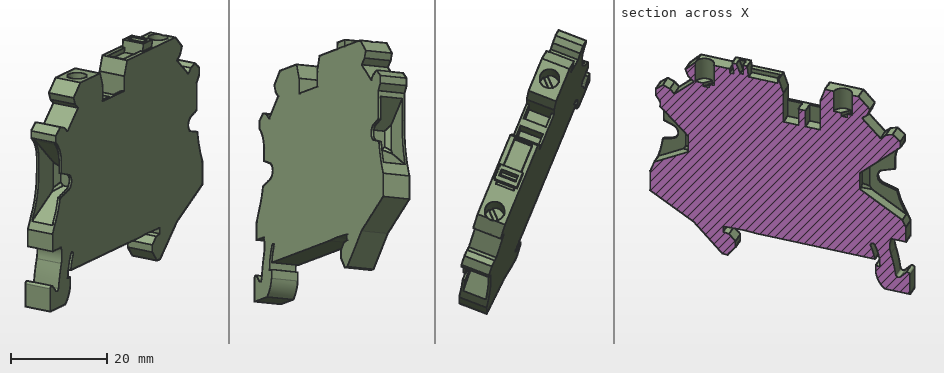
import cadquery as cq
import math

thickness = 6.15
length = 57.8
top_z = 46.85
base_z = 6.9
wall = 0.56
inner_width = thickness - 2 * wall
mid_x = thickness / 2
center_y = 30.25

screw_spacing = 30.7
screw_hole_diameter = 4.1
screw_hole_depth = 5.0
screw_slot_width = 0.85
screw_slot_depth = 0.8

notch_front_y = 20.0
notch_back_y = 28.09
notch_floor_z = 40.47
notch_shoulder_z = 43.7
notch_flare = 1.08
notch_pocket_depth = 4.0
front_pocket_length = 3.2
back_pocket_length = 3.25

recess_width = 3.95
recess_front_y = 29.5
recess_back_y = 40.05
recess_depth = 1.0
tab_front_y = 36.15
tab_length = 3.4
tab_height = 1.6
tab_lean = 0.3
tab_slot_width = 3.7
tab_slot_front_y = 37.1
tab_slot_length = 1.45
tab_slot_flat = 0.6
tab_slot_depth = 2.2

mouth_floor_y, mouth_floor_z = 1.7, 18.3
mouth_roof_y, mouth_roof_z = 2.3, 36.07
floor_angle = 30.0
throat_y = 11.1
throat_roof_z = 27.7
throat_inset = 0.91
taper_start_y = 9.8
corner_start_y = 9.27
corner_width = 1.55
corner_height = 1.58
overrun = 2.0

front_face_y = 4.23
bite_top_z = 29.0
bite_bottom_y, bite_bottom_z = 3.8, 23.7


def centered_box(width, y0, y1, z0, z1):
    """Box centred across the thickness."""
    block = cq.Workplane("XY").box(width, y1 - y0, z1 - z0, centered=(True, False, False))
    return block.translate((mid_x, y0, z0))


def tetrahedron(corners):
    """Solid with four flat triangular faces."""
    faces = []
    for skipped in range(4):
        points = [cq.Vector(*p) for i, p in enumerate(corners) if i != skipped]
        faces.append(cq.Face.makeFromWires(cq.Wire.makePolygon(points, close=True)))
    return cq.Workplane(obj=cq.Solid.makeSolid(cq.Shell.makeShell(faces)))


def make_housing():
    """Side outline, drawn in Y and Z, extruded through the thickness."""
    outline = (
        cq.Workplane("YZ")
        .moveTo(0, 0)
        .lineTo(0, 5.04)
        .threePointArc((0.25, 5.4), (0.8, 5.42))
        .lineTo(2.21, 3.91)
        .threePointArc((2.6, 3.75), (3.15, 4.22))
        .threePointArc((3.6, 6.83), (4.25, 9.4))
        .threePointArc((4.47, 11.2), (4.13, 12.89))
        .lineTo(0.9, 12.89)
        .lineTo(0.9, 16.66)
        .lineTo(2.86, 20.76)
        .threePointArc((4.0, 24.94), (front_face_y, bite_top_z))
        .lineTo(front_face_y, 31.8)
        .threePointArc((3.55, 34.4), (2.14, 36.26))
        .lineTo(2.14, 37.79)
        .lineTo(3.84, 39.2)
        .lineTo(5.39, 38.66)
        .lineTo(6.55, 37.57)
        .lineTo(10.57, 41.56)
        .lineTo(9.45, 42.65)
        .lineTo(8.87, 44.24)
        .lineTo(11.44, top_z)
        .lineTo(notch_front_y - notch_flare, top_z)
        .lineTo(notch_front_y, notch_shoulder_z)
        .lineTo(notch_front_y, notch_floor_z)
        .lineTo(notch_back_y, notch_floor_z)
        .lineTo(notch_back_y, notch_shoulder_z)
        .lineTo(notch_back_y + notch_flare, top_z)
        .lineTo(47.5, top_z)
        .lineTo(49.98, 44.24)
        .lineTo(49.4, 42.75)
        .lineTo(48.14, 41.56)
        .lineTo(52.37, 37.57)
        .lineTo(53.35, 38.58)
        .lineTo(54.9, 39.2)
        .lineTo(56.53, 37.79)
        .lineTo(56.53, 36.19)
        .lineTo(55.59, 34.74)
        .lineTo(55.59, bite_top_z)
        .threePointArc((56.3, 21.5), (length, 16.88))
        .lineTo(length, 11.98)
        .lineTo(48.1, 6.46)
        .lineTo(41.69, 0)
        .lineTo(40.54, 0)
        .lineTo(38.76, 2.36)
        .lineTo(38.76, 3.96)
        .lineTo(40.21, 5.41)
        .lineTo(41.51, 5.63)
        .lineTo(41.51, base_z)
        .lineTo(36.88, base_z + 0.15)
        .lineTo(33.91, base_z)
        .lineTo(7.82, base_z)
        .threePointArc((8.15, 8.6), (8.75, 10.2))
        .threePointArc((8.4, 10.72), (7.85, 10.45))
        .threePointArc((7.0, 8.0), (6.73, 5.44))
        .lineTo(7.67, 5.44)
        .lineTo(7.67, 3.63)
        .threePointArc((7.0, 1.6), (5.68, 0))
        .close()
    )
    return outline.extrude(thickness)


def make_funnel():
    """Cutter for the front wire entry: sloped floor and roof, narrowing to the throat."""
    slope = math.tan(math.radians(floor_angle))
    roof_slope = (mouth_roof_z - throat_roof_z) / (throat_y - mouth_roof_y)
    outer_y = -overrun
    throat_floor_z = mouth_floor_z + slope * (throat_y - mouth_floor_y)
    outer_floor_z = mouth_floor_z + slope * (outer_y - mouth_floor_y)
    outer_roof_z = mouth_roof_z + roof_slope * (mouth_roof_y - outer_y)
    cutter = (
        cq.Workplane("YZ", origin=(wall, 0, 0))
        .polyline([
            (outer_y, outer_floor_z),
            (throat_y, throat_floor_z),
            (throat_y, throat_roof_z),
            (outer_y, outer_roof_z),
        ])
        .close()
        .extrude(inner_width)
    )
    side_wedge = (
        cq.Workplane("XY", origin=(0, 0, mouth_floor_z))
        .polyline([(wall, taper_start_y), (wall, throat_y), (wall + throat_inset, throat_y)])
        .close()
        .extrude(mouth_roof_z - mouth_floor_z)
    )
    corner_floor_z = throat_floor_z - slope * (throat_y - corner_start_y)
    corner_wedge = tetrahedron([
        (wall, corner_start_y, corner_floor_z),
        (wall + corner_width, throat_y, throat_floor_z),
        (wall, throat_y, throat_floor_z + corner_height),
        (wall, throat_y, throat_floor_z),
    ])
    for wedge in (side_wedge, corner_wedge):
        cutter = cutter.cut(wedge).cut(wedge.mirror("YZ", (mid_x, 0, 0)))
    return cutter


def make_wall_bite():
    """Cutter for the rounded opening in the +X wall beside the front funnel."""
    return (
        cq.Workplane("YZ", origin=(thickness - wall, 0, 0))
        .moveTo(0, bite_top_z)
        .lineTo(front_face_y, bite_top_z)
        .lineTo(7.2, 27.9)
        .threePointArc((8.1, 26.4), (7.1, 24.7))
        .lineTo(bite_bottom_y, bite_bottom_z)
        .lineTo(0, bite_bottom_z)
        .close()
        .extrude(wall)
    )


def cut_wire_entries(body):
    """Funnel and wall opening at the front, mirrored to the back."""
    for cutter in (make_funnel(), make_wall_bite()):
        body = body.cut(cutter).cut(cutter.mirror("XZ", (0, center_y, 0)))
    return body


def cut_screw_holes(body):
    """Blind access holes, each ending on a slotted screw head."""
    head_z = top_z - screw_hole_depth
    for side in (-1, 1):
        screw_y = center_y + side * screw_spacing / 2
        head = cq.Workplane("XY", origin=(mid_x, screw_y, head_z))
        hole = head.circle(screw_hole_diameter / 2).extrude(screw_hole_depth)
        slot = (
            head.transformed(rotate=(0, 0, -45))
            .rect(screw_hole_diameter, screw_slot_width)
            .extrude(-screw_slot_depth)
            .intersect(head.circle(screw_hole_diameter / 2).extrude(-screw_slot_depth))
        )
        body = body.cut(hole).cut(slot)
    return body


def cut_notch_pockets(body):
    """Two pockets sunk into the notch floor, one against each end."""
    pockets = (
        (notch_front_y, notch_front_y + front_pocket_length),
        (notch_back_y - back_pocket_length, notch_back_y),
    )
    floor_z = notch_floor_z - notch_pocket_depth
    for y0, y1 in pockets:
        body = body.cut(centered_box(inner_width, y0, y1, floor_z, notch_floor_z))
    return body


def add_marker_tab(body):
    """Shallow recess in the top with a slotted tab standing in it."""
    recess_z = top_z - recess_depth
    tab_z = top_z + tab_height
    tab_back_y = tab_front_y + tab_length
    body = body.cut(centered_box(recess_width, recess_front_y, recess_back_y, recess_z, top_z))
    tab = (
        cq.Workplane("YZ", origin=(wall, 0, 0))
        .polyline([
            (tab_front_y - tab_lean, recess_z),
            (tab_back_y - tab_lean, recess_z),
            (tab_back_y, tab_z),
            (tab_front_y, tab_z),
        ])
        .close()
        .extrude(inner_width)
    )
    body = body.union(tab)
    slot_z = tab_z - tab_slot_depth
    slot = (
        cq.Workplane("YZ", origin=(mid_x - tab_slot_width / 2, 0, 0))
        .polyline([
            (tab_slot_front_y, tab_z),
            (tab_slot_front_y, slot_z),
            (tab_slot_front_y + tab_slot_flat, slot_z),
            (tab_slot_front_y + tab_slot_length, tab_z),
        ])
        .close()
        .extrude(tab_slot_width)
    )
    return body.cut(slot)


body = make_housing()
body = cut_wire_entries(body)
body = cut_screw_holes(body)
body = cut_notch_pockets(body)
result = add_marker_tab(body)